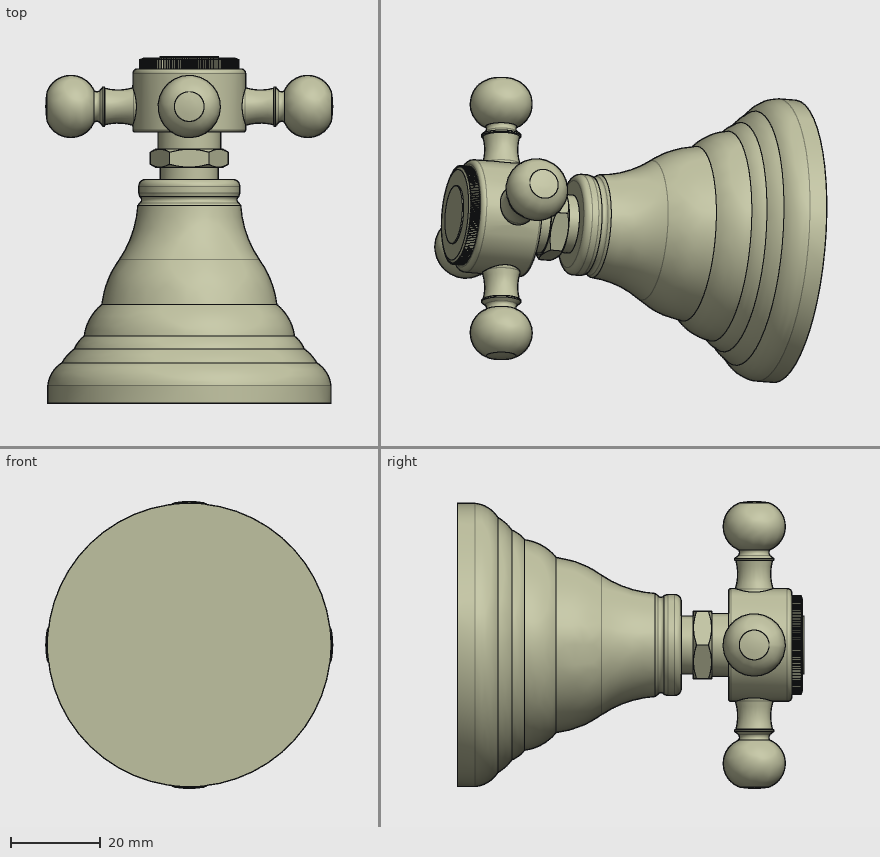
import cadquery as cq
import math


OVERALL_LENGTH = 77.4

RIM_RADIUS = 31.65
RIM_HEIGHT = 3.95
SHOULDER_RADIUS = 28.5
SHOULDER_Y = 9.05
LOWER_STEP_RADIUS = 25.7
LOWER_STEP_Y = 12.15
UPPER_STEP_RADIUS = 23.5
UPPER_STEP_Y = 15.0
WAIST_STEP_RADIUS = 19.6
WAIST_STEP_Y = 22.05
INFLECTION_RADIUS = 15.6
INFLECTION_Y = 32.1
BELL_TOP_RADIUS = 11.5
BELL_TOP_Y = 44.1

SHOULDER_BULGE = 0.7
STEP_BULGE = 0.2
WAIST_BULGE = 0.8
BELLY_BULGE = 0.7
FLARE_BULGE = -0.85

GROOVE_LOWER_RADIUS = 11.1
GROOVE_LOWER_Y = 44.7
GROOVE_FLOOR_RADIUS = 10.7
GROOVE_UPPER_Y = 46.1
COLLAR_RADIUS = 11.3
COLLAR_EDGE_Y = 47.0
COLLAR_TOP_Y = 50.0
COLLAR_FILLET = 1.55

LOWER_STEM_RADIUS = 6.5
UPPER_STEM_RADIUS = 7.05
NUT_BOTTOM_Y = 52.6
NUT_TOP_Y = 56.8
NUT_CORNER_RADIUS = 8.75
NUT_FACE_RADIUS = 7.4
NUT_CHAMFER_ANGLE = 30.0

HUB_RADIUS = 12.6
HUB_BOTTOM_Y = 60.5
HUB_TOP_Y = 74.7
HUB_TOP_FILLET = 1.1
HUB_BOTTOM_FILLET = 0.55
CAP_RADIUS = 11.1
CAP_TOP_Y = 77.1
CAP_CHAMFER_HEIGHT = 0.4
CAP_CHAMFER_WIDTH = 0.9
KNURL_TEETH = 160
KNURL_DEPTH = 0.3
BUTTON_RADIUS = 6.5

ARM_COUNT = 4
ARM_Y = 66.25
ARM_ROOT_X = 9.3
ARM_ROOT_RADIUS = 5.3
SHAFT_START_X = 12.5
SHAFT_START_RADIUS = 4.25
SHAFT_WAIST_X = 15.7
SHAFT_WAIST_RADIUS = 3.7
SHAFT_END_X = 18.8
SHAFT_END_RADIUS = 4.1
BEAD_RADIUS = 4.4
BEAD_START_X = 19.0
BEAD_END_X = 19.3
NECK_START_X = 20.0
NECK_START_RADIUS = 3.55
NECK_X = 20.6
NECK_RADIUS = 3.3
BALL_START_X = 21.2
BALL_START_RADIUS = 3.5
BALL_RADIUS = 7.0
BALL_END_X = 31.7
BALL_END_RADIUS = 3.3
ARM_REACH = 32.05


def cylinder(radius, bottom, top):
    """Cylinder about the Y axis between two heights."""
    return cq.Workplane("XZ").workplane(offset=-bottom).circle(radius).extrude(bottom - top)


def bulge(start, end, height):
    """Point standing off the middle of a chord, to the right of its direction."""
    dx = end[0] - start[0]
    dy = end[1] - start[1]
    chord = math.hypot(dx, dy)
    mid_x = (start[0] + end[0]) / 2
    mid_y = (start[1] + end[1]) / 2
    return (mid_x + height * dy / chord, mid_y - height * dx / chord)


def make_bell():
    """Flared bell: a rim, then arcs given by end point and outward bulge, then the collar."""
    arcs = [
        ((SHOULDER_RADIUS, SHOULDER_Y), SHOULDER_BULGE),
        ((LOWER_STEP_RADIUS, LOWER_STEP_Y), STEP_BULGE),
        ((UPPER_STEP_RADIUS, UPPER_STEP_Y), STEP_BULGE),
        ((WAIST_STEP_RADIUS, WAIST_STEP_Y), WAIST_BULGE),
        ((INFLECTION_RADIUS, INFLECTION_Y), BELLY_BULGE),
        ((BELL_TOP_RADIUS, BELL_TOP_Y), FLARE_BULGE),
    ]
    start = (RIM_RADIUS, RIM_HEIGHT)
    outline = cq.Workplane("XY").lineTo(RIM_RADIUS, 0).lineTo(*start)
    for end, height in arcs:
        outline = outline.threePointArc(bulge(start, end, height), end)
        start = end

    groove_middle = (GROOVE_FLOOR_RADIUS, (GROOVE_LOWER_Y + GROOVE_UPPER_Y) / 2)
    fillet_diagonal = COLLAR_FILLET * (1 - math.sqrt(0.5))
    outline = (
        outline.lineTo(GROOVE_LOWER_RADIUS, GROOVE_LOWER_Y)
        .threePointArc(groove_middle, (GROOVE_LOWER_RADIUS, GROOVE_UPPER_Y))
        .lineTo(COLLAR_RADIUS, COLLAR_EDGE_Y)
        .lineTo(COLLAR_RADIUS, COLLAR_TOP_Y - COLLAR_FILLET)
        .threePointArc(
            (COLLAR_RADIUS - fillet_diagonal, COLLAR_TOP_Y - fillet_diagonal),
            (COLLAR_RADIUS - COLLAR_FILLET, COLLAR_TOP_Y),
        )
        .lineTo(0, COLLAR_TOP_Y)
        .close()
    )
    return outline.revolve(360, (0, 0, 0), (0, 1, 0))


def make_nut():
    """Hexagon nut with its corners on the X axis, chamfered on both ends."""
    hexagon = (
        cq.Workplane("XZ")
        .workplane(offset=-NUT_BOTTOM_Y)
        .polygon(6, 2 * NUT_CORNER_RADIUS)
        .extrude(NUT_BOTTOM_Y - NUT_TOP_Y)
    )
    chamfer_width = NUT_CORNER_RADIUS - NUT_FACE_RADIUS
    chamfer_height = chamfer_width * math.tan(math.radians(NUT_CHAMFER_ANGLE))
    envelope = (
        cylinder(NUT_CORNER_RADIUS, NUT_BOTTOM_Y, NUT_TOP_Y)
        .faces("<Y or >Y")
        .edges()
        .chamfer(chamfer_height, chamfer_width)
    )
    return hexagon.intersect(envelope)


def make_stem():
    lower = cylinder(LOWER_STEM_RADIUS, COLLAR_TOP_Y, NUT_BOTTOM_Y)
    upper = cylinder(UPPER_STEM_RADIUS, NUT_TOP_Y, HUB_BOTTOM_Y)
    return lower.union(make_nut()).union(upper)


def make_hub():
    hub = cylinder(HUB_RADIUS, HUB_BOTTOM_Y, HUB_TOP_Y)
    return hub.faces(">Y").edges().fillet(HUB_TOP_FILLET).faces("<Y").edges().fillet(HUB_BOTTOM_FILLET)


def make_cap():
    """Cap knurled with V-shaped teeth, chamfered on top and carrying a thin round button."""
    points = []
    for index in range(2 * KNURL_TEETH):
        angle = math.pi * index / KNURL_TEETH
        radius = CAP_RADIUS - KNURL_DEPTH * (index % 2)
        points.append((radius * math.cos(angle), radius * math.sin(angle)))
    knurled = (
        cq.Workplane("XZ")
        .workplane(offset=-HUB_TOP_Y)
        .polyline(points)
        .close()
        .extrude(HUB_TOP_Y - CAP_TOP_Y)
    )
    envelope = (
        cylinder(CAP_RADIUS, HUB_TOP_Y, CAP_TOP_Y)
        .faces(">Y")
        .edges()
        .chamfer(CAP_CHAMFER_HEIGHT, CAP_CHAMFER_WIDTH)
    )
    button = cylinder(BUTTON_RADIUS, CAP_TOP_Y, OVERALL_LENGTH)
    return knurled.intersect(envelope).union(button)


def make_arm():
    """Arm along +X: flared root, waisted shaft, bead, neck and ball with a slightly domed end."""
    ball_middle_x = (BALL_START_X + BALL_END_X) / 2
    dome_rise = ARM_REACH - BALL_END_X
    dome_radius = (BALL_END_RADIUS**2 + dome_rise**2) / (2 * dome_rise)
    dome_half_angle = math.asin(BALL_END_RADIUS / dome_radius) / 2
    dome_middle = (
        ARM_REACH - dome_radius * (1 - math.cos(dome_half_angle)),
        dome_radius * math.sin(dome_half_angle),
    )
    outline = (
        cq.Workplane("XY")
        .moveTo(ARM_ROOT_X, 0)
        .lineTo(ARM_ROOT_X, ARM_ROOT_RADIUS)
        .lineTo(SHAFT_START_X, SHAFT_START_RADIUS)
        .threePointArc((SHAFT_WAIST_X, SHAFT_WAIST_RADIUS), (SHAFT_END_X, SHAFT_END_RADIUS))
        .lineTo(BEAD_START_X, BEAD_RADIUS)
        .lineTo(BEAD_END_X, BEAD_RADIUS)
        .lineTo(NECK_START_X, NECK_START_RADIUS)
        .threePointArc((NECK_X, NECK_RADIUS), (BALL_START_X, BALL_START_RADIUS))
        .threePointArc((ball_middle_x, BALL_RADIUS), (BALL_END_X, BALL_END_RADIUS))
        .threePointArc(dome_middle, (ARM_REACH, 0))
        .close()
    )
    return outline.revolve(360, (0, 0, 0), (1, 0, 0)).translate((0, ARM_Y, 0))


result = make_bell().union(make_stem()).union(make_hub()).union(make_cap())

arm = make_arm()
for arm_index in range(ARM_COUNT):
    arm_angle = 360.0 * arm_index / ARM_COUNT
    result = result.union(arm.rotate((0, 0, 0), (0, 1, 0), arm_angle))